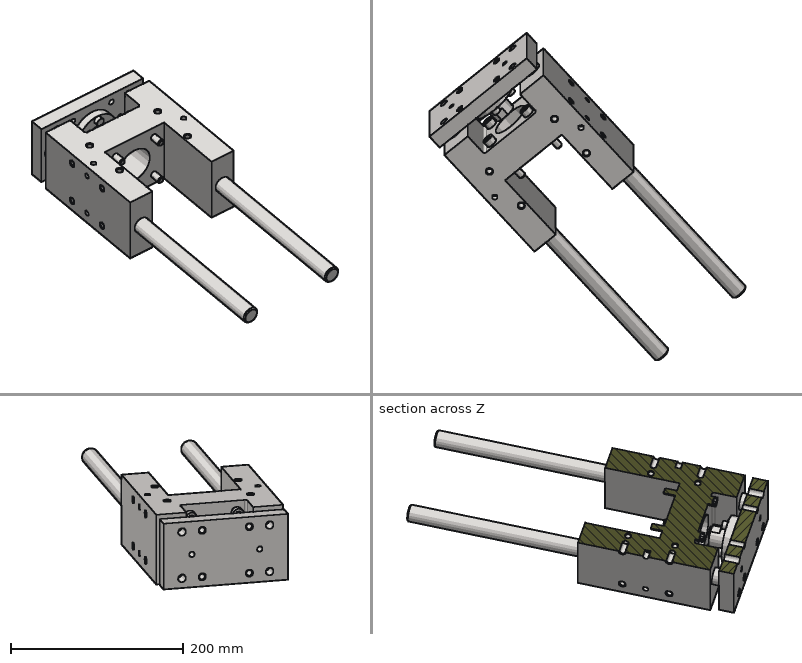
import cadquery as cq
import math

TOTAL_LENGTH = 395.0

PLATE_THICKNESS = 18.0
PLATE_WIDTH = 149.5
PLATE_HEIGHT = 80.0
PLATE_CLEARANCE_DIAMETER = 9.0
PLATE_CLEARANCE_SPACING = 105.0
PLATE_PIN_SPACING = 81.5

HOUSING_START = 28.0
HOUSING_LENGTH = 159.5
HOUSING_WIDTH = 152.0
HOUSING_HEIGHT = 85.0
WEB_START = 57.3
WEB_END = 98.0
FRONT_POCKET_WIDTH = 80.0
FRONT_POCKET_RADIUS = 2.8
REAR_POCKET_WIDTH = 87.0
WEB_BORE_DIAMETER = 45.0

ROD_DIAMETER = 20.0
ROD_SPACING = 119.0
ROD_CHAMFER = 1.5

TAP_DIAMETER = 6.7
TAP_MOUTH_DIAMETER = 8.5
TAP_DEPTH = 15.8
DRILL_TIP_ANGLE = 118.0
PIN_HOLE_DIAMETER = 6.5
PIN_HOLE_DEPTH = 10.0
PATTERN_SPACING = 56.5
TAP_SPACING_X = 56.5
TAP_SPACING_Y = 100.0
TOP_PIN_SPACING_Y = 132.5
HOLE_PATTERN_X = 106.0

FLANGE_DIAMETER = 55.5
FLANGE_END = HOUSING_START
HUB_DIAMETER = 26.0
HUB_END = 47.5
HUB_FLAT_START = 36.7
HUB_ACROSS_FLATS = 24.0
FLANGE_SCREW_CIRCLE = 45.0
FLANGE_SCREW_DIAMETER = 10.0
FLANGE_SCREW_HEIGHT = 6.0
FLANGE_SCREW_COUNT = 4

SCREW_HEAD_DIAMETER = 13.0
SCREW_HEAD_HEIGHT = 8.0
SCREW_SHANK_DIAMETER = 8.3
SCREW_END = 112.0
SCREW_CHAMFER = 1.0
SOCKET_ACROSS_FLATS = 6.0
SOCKET_DEPTH = 4.0

HOUSING_END = HOUSING_START + HOUSING_LENGTH
TAP_CONE_DEPTH = (TAP_MOUTH_DIAMETER - TAP_DIAMETER) / 2
TAP_TIP_DEPTH = TAP_DIAMETER / 2 / math.tan(math.radians(DRILL_TIP_ANGLE / 2))
SOCKET_CORNER_DIAMETER = SOCKET_ACROSS_FLATS / math.cos(math.pi / 6)


def grid(first_spacing, second_spacing):
    """Four points at the corners of a centred rectangle."""
    return [
        (side * first_spacing / 2, end * second_spacing / 2)
        for side in (-1, 1)
        for end in (-1, 1)
    ]


def block(x_start, x_end, width, height):
    """Box between two X positions, centred on Y = 0 and Z = 0."""
    length = x_end - x_start
    return cq.Workplane("XY").box(length, width, height).translate((x_start + length / 2, 0, 0))


def bar(x_start, x_end, diameter, y=0, z=0):
    """Round bar along X."""
    return (
        cq.Workplane("YZ", origin=(x_start, 0, 0))
        .center(y, z)
        .circle(diameter / 2)
        .extrude(x_end - x_start)
    )


def drill(body, mouth, direction, diameter, depth):
    """Plain hole from a mouth point into the body."""
    cylinder = cq.Solid.makeCylinder(diameter / 2, depth, cq.Vector(*mouth), cq.Vector(*direction))
    return body.cut(cq.Workplane(cylinder))


def tap(body, mouth, direction, depth):
    """Hole with a conical countersink at its mouth."""
    countersink = cq.Solid.makeCone(
        TAP_MOUTH_DIAMETER / 2, TAP_DIAMETER / 2, TAP_CONE_DEPTH, cq.Vector(*mouth), cq.Vector(*direction)
    )
    return drill(body, mouth, direction, TAP_DIAMETER, depth).cut(cq.Workplane(countersink))


def blind_tap(body, mouth, direction):
    """Tapped hole of the housing, ending in a conical drill tip."""
    axis = cq.Vector(*direction)
    tip_start = cq.Vector(*mouth) + axis * TAP_DEPTH
    tip = cq.Solid.makeCone(TAP_DIAMETER / 2, 0, TAP_TIP_DEPTH, tip_start, axis)
    return tap(body, mouth, direction, TAP_DEPTH).cut(cq.Workplane(tip))


def make_plate():
    plate = block(0, PLATE_THICKNESS, PLATE_WIDTH, PLATE_HEIGHT)
    inward = (1, 0, 0)
    for y, z in grid(PLATE_CLEARANCE_SPACING, PATTERN_SPACING):
        plate = drill(plate, (0, y, z), inward, PLATE_CLEARANCE_DIAMETER, PLATE_THICKNESS)
    for y, z in grid(PATTERN_SPACING, PATTERN_SPACING):
        plate = tap(plate, (0, y, z), inward, PLATE_THICKNESS)
    for side in (-1, 1):
        mouth = (0, side * PLATE_PIN_SPACING / 2, 0)
        plate = drill(plate, mouth, inward, PIN_HOLE_DIAMETER, PLATE_THICKNESS)
    return plate


def make_coupling():
    hub = bar(FLANGE_END, HUB_END, HUB_DIAMETER)
    flat_zone = block(HUB_FLAT_START, HUB_END, HUB_DIAMETER, HUB_DIAMETER)
    between_flats = block(HUB_FLAT_START, HUB_END, HUB_DIAMETER, HUB_ACROSS_FLATS)
    hub = hub.cut(flat_zone.cut(between_flats))

    coupling = bar(PLATE_THICKNESS, FLANGE_END, FLANGE_DIAMETER).union(hub)
    screw_end = FLANGE_END + FLANGE_SCREW_HEIGHT
    for index in range(FLANGE_SCREW_COUNT):
        angle = 2 * math.pi * index / FLANGE_SCREW_COUNT
        y = FLANGE_SCREW_CIRCLE / 2 * math.cos(angle)
        z = FLANGE_SCREW_CIRCLE / 2 * math.sin(angle)
        coupling = coupling.union(bar(FLANGE_END, screw_end, FLANGE_SCREW_DIAMETER, y, z))
    return coupling


def make_slide():
    slide = make_plate().union(make_coupling())
    for side in (-1, 1):
        rod = bar(PLATE_THICKNESS, TOTAL_LENGTH, ROD_DIAMETER, side * ROD_SPACING / 2)
        slide = slide.union(rod.faces(">X").chamfer(ROD_CHAMFER))
    return slide


def make_housing_block():
    front_pocket = (
        block(HOUSING_START, WEB_START, FRONT_POCKET_WIDTH, HOUSING_HEIGHT)
        .edges(">X and |Z")
        .fillet(FRONT_POCKET_RADIUS)
    )
    rear_pocket = block(WEB_END, HOUSING_END, REAR_POCKET_WIDTH, HOUSING_HEIGHT)
    housing = (
        block(HOUSING_START, HOUSING_END, HOUSING_WIDTH, HOUSING_HEIGHT)
        .cut(front_pocket)
        .cut(rear_pocket)
        .cut(bar(WEB_START, WEB_END, WEB_BORE_DIAMETER))
    )
    for side in (-1, 1):
        housing = housing.cut(bar(HOUSING_START, HOUSING_END, ROD_DIAMETER, side * ROD_SPACING / 2))
    return housing


def add_mounting_holes(housing):
    for face in (-1, 1):
        top = face * HOUSING_HEIGHT / 2
        into_top = (0, 0, -face)
        for x, y in grid(TAP_SPACING_X, TAP_SPACING_Y):
            housing = blind_tap(housing, (HOLE_PATTERN_X + x, y, top), into_top)
        flank = face * HOUSING_WIDTH / 2
        into_flank = (0, -face, 0)
        for x, z in grid(TAP_SPACING_X, PATTERN_SPACING):
            housing = blind_tap(housing, (HOLE_PATTERN_X + x, flank, z), into_flank)
        for end in (-1, 1):
            top_pin = (HOLE_PATTERN_X, end * TOP_PIN_SPACING_Y / 2, top)
            flank_pin = (HOLE_PATTERN_X, flank, end * PATTERN_SPACING / 2)
            housing = drill(housing, top_pin, into_top, PIN_HOLE_DIAMETER, PIN_HOLE_DEPTH)
            housing = drill(housing, flank_pin, into_flank, PIN_HOLE_DIAMETER, PIN_HOLE_DEPTH)
    return housing


def make_web_screw(y, z):
    head_start = WEB_START - SCREW_HEAD_HEIGHT
    socket = (
        cq.Workplane("YZ", origin=(head_start, y, z))
        .polygon(6, SOCKET_CORNER_DIAMETER)
        .extrude(SOCKET_DEPTH)
    )
    shank = bar(WEB_START, SCREW_END, SCREW_SHANK_DIAMETER, y, z).faces(">X").chamfer(SCREW_CHAMFER)
    return bar(head_start, WEB_START, SCREW_HEAD_DIAMETER, y, z).union(shank).cut(socket)


def make_housing():
    housing = add_mounting_holes(make_housing_block())
    for y, z in grid(PATTERN_SPACING, PATTERN_SPACING):
        housing = housing.union(make_web_screw(y, z))
    return housing


slide = make_slide()
housing = make_housing()
result = cq.Compound.makeCompound([slide.solids().val(), housing.solids().val()])